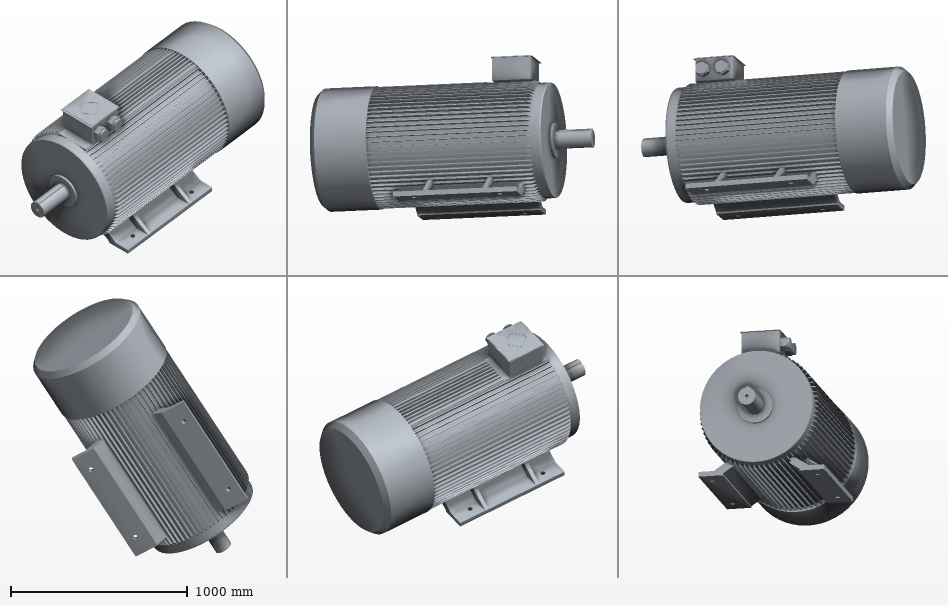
import cadquery as cq
import math


shield_dia = 655.0
shield_face_dia = 650.0
shield_rim_chamfer_length = 8.0
shield_thickness = 60.0
hub_dia = 200.0
hub_height = 14.0
collar_dia = 110.0
collar_height = 5.0
shaft_dia = 100.0
shaft_length = 228.0
center_hole_dia = 20.0
center_hole_depth = 24.0
key_width = 25.0
key_length = 205.0
key_top = 55.0
key_bottom = 31.0

core_dia = 650.0
frame_end = 1011.0
cover_end = 1342.0
cover_dia = 699.0
cover_chamfer_length = 31.0
cover_chamfer_depth = 28.0
fin_dia = 690.0
fin_thickness = 5.0
fin_pitch_angle = 5
fin_gap_half_angle = 20
fin_root_overlap = 8.0
fin_end_taper = 19.0

pad_top = 325.0
pad_front = 66.0
pad_half_width = 100.0
pad_base_half_width = 113.0
pad_base = 298.0
pad_fin_count = 9
pad_fin_pitch = 24.0
pad_fin_thickness = 6.0
pad_fin_start = 365.0
pad_fin_end_taper = 15.0

box_width = 220.0
box_front = 111.0
box_rear = 333.0
box_bevel_height = 13.0
box_bevel_inset = 11.0
box_total_top = 474.0
lid_thickness = 6.0
lid_rim_thickness = 3.0
lid_overhang = 3.0
lid_rim_width = 3.0
lid_front_rim_width = 11.0
emblem_y = 214.0
emblem_side = 107.0
emblem_corner = 19.0
emblem_line = 11.0
emblem_depth = 2.0

gland_hex_dia = 80.0
gland_cap_dia = 69.0
gland_neck_dia = 60.0
gland_hex_length = 35.0
gland_neck_length = 8.0
gland_cap_length = 11.0
gland_z = 400.0
gland_y_places = (162.0, 278.0)

foot_span = 730.0
foot_half_span = foot_span / 2
foot_bottom = -355.0
foot_thickness = 28.0
foot_front = 132.0
foot_length = 716.0
foot_inner_x = 223.0
foot_inner_lip = 10.0
foot_bend_x = 275.0
foot_slope_angle = 34
foot_slope = math.tan(math.radians(foot_slope_angle))
foot_root_x = 165.0
rib_thickness = 24.0
rib_spacing = 349.0
foot_hole_dia = 28.0
foot_hole_x = 305.0
foot_hole_spacing = 500.0


def turned(profile):
    """Revolve a closed (radius, y) profile about the shaft axis."""
    return cq.Workplane("XY").polyline(profile).close().revolve(360, (0, 0, 0), (0, 1, 0))


def along_y(sketch, start, end):
    """Extrude a centred XZ sketch function from Y = start to Y = end."""
    plane = cq.Workplane("XZ", origin=(0, start, 0))
    return sketch(plane).extrude(start - end)


def block(x_range, y_range, z_range):
    """Box given by its limits on each axis."""
    sizes = [high - low for low, high in (x_range, y_range, z_range)]
    corner = (x_range[0], y_range[0], z_range[0])
    return cq.Workplane("XY").box(*sizes, centered=False).translate(corner)


def make_turned_body():
    """Shaft, collar, hub, shield, frame core and fan cover as one turned solid."""
    shield_r = shield_dia / 2
    cover_r = cover_dia / 2
    return turned([
        (0, -shaft_length),
        (shaft_dia / 2, -shaft_length),
        (shaft_dia / 2, -hub_height - collar_height),
        (collar_dia / 2, -hub_height - collar_height),
        (collar_dia / 2, -hub_height),
        (hub_dia / 2, -hub_height),
        (hub_dia / 2, 0),
        (shield_face_dia / 2, 0),
        (shield_r, shield_rim_chamfer_length),
        (shield_r, shield_thickness),
        (core_dia / 2, shield_thickness),
        (core_dia / 2, frame_end),
        (cover_r, frame_end),
        (cover_r, cover_end - cover_chamfer_length),
        (cover_r - cover_chamfer_depth, cover_end),
        (0, cover_end),
    ])


def make_radial_fins():
    """Radial cooling fins all round except for the gap under the terminal box."""
    sweep = 360 - 2 * fin_gap_half_angle
    count = sweep // fin_pitch_angle + 1
    fin_r = fin_dia / 2
    inner_r = core_dia / 2 - fin_root_overlap
    fin_depth = fin_r - inner_r + fin_root_overlap
    fins = along_y(
        lambda plane: plane.polarArray(
            inner_r + fin_depth / 2, 90 + fin_gap_half_angle, sweep, count
        ).rect(fin_depth, fin_thickness),
        shield_thickness,
        frame_end,
    )
    envelope = turned([
        (0, shield_thickness),
        (core_dia / 2, shield_thickness),
        (fin_r, shield_thickness + fin_end_taper),
        (fin_r, frame_end),
        (0, frame_end),
    ])
    return fins.intersect(envelope)


def make_pad():
    """Flat-topped pad with sloping sides along the top of the frame."""
    section = [
        (-pad_base_half_width, pad_base),
        (-pad_half_width, pad_top),
        (pad_half_width, pad_top),
        (pad_base_half_width, pad_base),
    ]
    return along_y(lambda plane: plane.polyline(section).close(), pad_front, frame_end)


def make_pad_fins():
    """Upright parallel fins on the pad, behind the terminal box."""
    fin_r = fin_dia / 2
    side_outline = [
        (pad_fin_start, pad_base),
        (pad_fin_start, pad_top),
        (pad_fin_start + pad_fin_end_taper, fin_r),
        (frame_end, fin_r),
        (frame_end, pad_base),
    ]
    envelope = along_y(lambda plane: plane.circle(fin_r), pad_fin_start, frame_end)
    middle = (pad_fin_count - 1) / 2
    fins = cq.Workplane("XY")
    for index in range(pad_fin_count):
        fin = (
            cq.Workplane("YZ", origin=((index - middle) * pad_fin_pitch, 0, 0))
            .polyline(side_outline)
            .close()
            .extrude(pad_fin_thickness / 2, both=True)
        )
        fins = fins.add(fin.intersect(envelope))
    return fins.combine()


def make_key():
    """Round-ended key on top of the shaft, reaching its free end."""
    return (
        cq.Workplane("XY", origin=(0, -shaft_length + key_length / 2, key_bottom))
        .slot2D(key_length, key_width, 90)
        .extrude(key_top - key_bottom)
    )


def make_terminal_box():
    """Box with a bevelled foot, an overhanging lid and a framed emblem."""
    center_y = (box_front + box_rear) / 2
    depth = box_rear - box_front
    lid_bottom = box_total_top - lid_thickness
    bevel_top = pad_top + box_bevel_height
    body = block(
        (-box_width / 2, box_width / 2), (box_front, box_rear), (bevel_top, lid_bottom)
    )
    foot = (
        cq.Workplane("XY", origin=(0, center_y, pad_top))
        .rect(box_width - 2 * box_bevel_inset, depth - 2 * box_bevel_inset)
        .workplane(offset=box_bevel_height)
        .rect(box_width, depth)
        .loft(ruled=True)
    )
    lid_half_width = box_width / 2 + lid_overhang
    lid_rear = box_rear + lid_overhang
    rim_half_width = lid_half_width + lid_rim_width
    lid = block(
        (-lid_half_width, lid_half_width), (box_front, lid_rear), (lid_bottom, box_total_top)
    )
    rim = block(
        (-rim_half_width, rim_half_width),
        (box_front - lid_front_rim_width, lid_rear + lid_rim_width),
        (lid_bottom, lid_bottom + lid_rim_thickness),
    )

    def emblem_plate(side, corner):
        return (
            cq.Workplane("XY", origin=(0, emblem_y, box_total_top - emblem_depth))
            .transformed(rotate=(0, 0, 45))
            .rect(side, side)
            .extrude(emblem_depth)
            .edges("|Z")
            .chamfer(corner)
        )

    emblem = emblem_plate(emblem_side, emblem_corner).cut(
        emblem_plate(emblem_side - 2 * emblem_line, emblem_corner / 2)
    )
    return foot.union(body).union(lid).union(rim).cut(emblem)


def make_gland(y):
    """Cable gland: hexagon, neck and round cap standing out of the box side."""
    hexagon = (
        cq.Workplane("YZ", origin=(box_width / 2, y, gland_z))
        .transformed(rotate=(0, 0, 90))
        .polygon(6, gland_hex_dia)
        .extrude(gland_hex_length)
    )
    neck = hexagon.faces(">X").workplane().circle(gland_neck_dia / 2).extrude(gland_neck_length)
    return neck.faces(">X").workplane().circle(gland_cap_dia / 2).extrude(gland_cap_length)


def make_foot():
    """Foot on the +X side: bent plate, two gusset ribs and two bolt holes."""
    foot_top = foot_bottom + foot_thickness
    lip_top = foot_bottom + foot_inner_lip
    center_y = foot_front + foot_length / 2
    plate_section = [
        (foot_half_span, foot_bottom),
        (foot_half_span, foot_top),
        (foot_bend_x, foot_top),
        (foot_root_x, foot_top + foot_slope * (foot_bend_x - foot_root_x)),
        (foot_root_x, lip_top + foot_slope * (foot_inner_x - foot_root_x)),
        (foot_inner_x, lip_top),
        (foot_inner_x, foot_bottom),
    ]
    rib_section = [
        (foot_half_span, foot_top),
        (foot_bend_x, foot_top),
        (foot_root_x, foot_top + foot_slope * (foot_bend_x - foot_root_x)),
        (foot_root_x, foot_top + foot_slope * (foot_half_span - foot_root_x)),
    ]
    foot = along_y(
        lambda plane: plane.polyline(plate_section).close(), foot_front, foot_front + foot_length
    )
    for side in (-1, 1):
        rib_y = center_y + side * rib_spacing / 2
        rib = along_y(
            lambda plane: plane.polyline(rib_section).close(),
            rib_y - rib_thickness / 2,
            rib_y + rib_thickness / 2,
        )
        foot = foot.union(rib)
    holes = (
        cq.Workplane("XY", origin=(foot_hole_x, center_y, foot_bottom))
        .rarray(15, foot_hole_spacing, 1, 2)
        .circle(foot_hole_dia / 2)
        .extrude(foot_thickness)
    )
    return foot.cut(holes)


center_hole = along_y(
    lambda plane: plane.circle(center_hole_dia / 2), -shaft_length, -shaft_length + center_hole_depth
)

foot = make_foot()
motor = make_turned_body().union(make_radial_fins())
motor = motor.union(make_pad()).union(make_pad_fins())
motor = motor.union(make_key()).cut(center_hole)
motor = motor.union(foot).union(foot.mirror("YZ"))
motor = motor.union(make_terminal_box())
for gland_y in gland_y_places:
    motor = motor.union(make_gland(gland_y))

result = motor